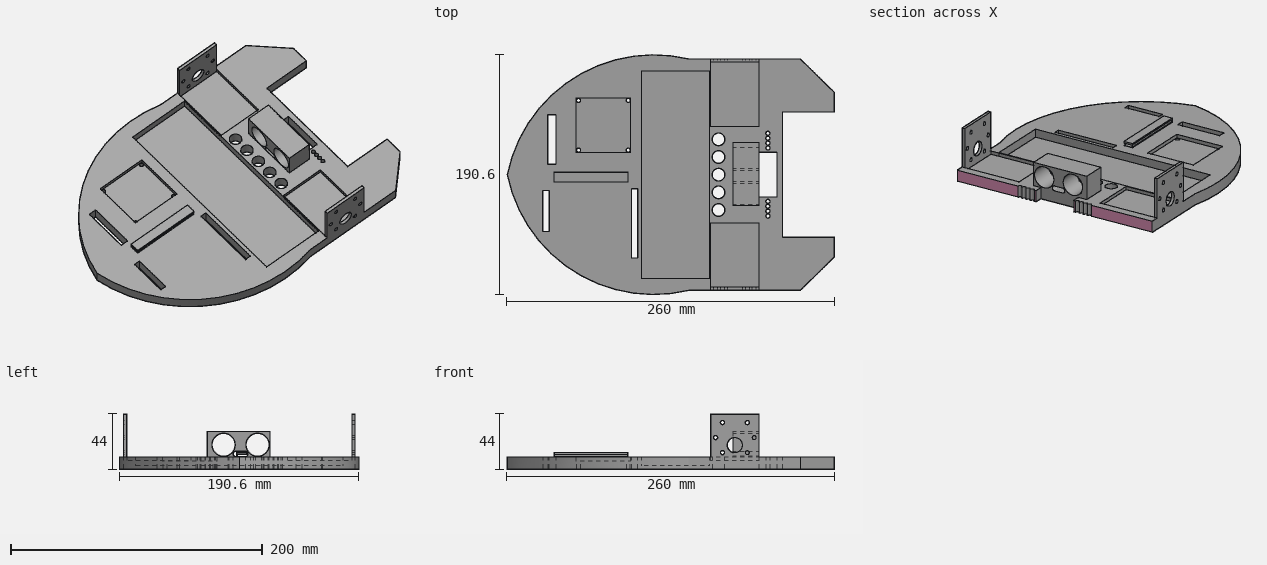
import cadquery as cq

plate_length = 260.0
plate_thickness = 10.0
half_width = 92.0
nose_length = 144.3
nose_radius = 118.8
tail_chamfer_length = 27.0
tail_chamfer_width = 26.5
arm_inner_y = 49.7
web_rear_x = 219.0

battery_front_x = 106.9
battery_rear_x = 161.0
battery_half_width = 82.5
battery_depth = 7.0

motor_front_x = 161.7
motor_rear_x = 200.2
motor_inner_y = 38.2
motor_depth = 2.9
bracket_thickness = 2.5
bracket_top_z = 44.0
motor_center_x = (motor_front_x + motor_rear_x) / 2
screw_center_z = 25.2
screw_offset_x = 10.0
screw_offset_z = 12.0
side_screw_offset_x = 15.3
shaft_drop = 6.0
shaft_hole_diameter = 12.0
small_hole_diameter = 3.0

board_center_x = 76.5
board_center_y = 39.3
board_size = 43.2
board_depth = 3.0
board_hole_pitch = 39.5

slots = [
    (32.2, 38.7, 8.3, 47.5),
    (28.3, 33.3, -45.0, -12.7),
    (98.8, 103.7, -66.0, -11.2),
    (motor_rear_x, 214.2, -17.7, 17.7),
]

line_hole_count = 5
line_hole_x = 168.0
line_hole_pitch = 14.0
line_hole_diameter = 10.0

pin_count = 4
pin_x = 207.2
pin_pitch = 4.0
pin_row_center_y = 27.0

block_front_x = 179.5
block_length = motor_rear_x - block_front_x
block_center_y = 0.5
block_width = 50.2
block_height = 20.3
eye_center_y = -1.0
eye_pitch = 27.0
eye_diameter = 18.2
eye_z = 19.5
window_width = 11.7
window_height = 4.2
window_z = 12.2

strip_front_x = 37.2
strip_length = 58.8
strip_upper_y = 2.0
strip_width = 8.0
strip_height = 3.6
strip_roof = 1.5
strip_wall = 0.5
strip_floor = 0.3


def box(x_min, x_max, y_min, y_max, z_min, z_max):
    """Box given by its limits along each axis."""
    size = (x_max - x_min, y_max - y_min, z_max - z_min)
    return cq.Workplane("XY").box(*size, centered=False).translate((x_min, y_min, z_min))


def through_holes(points, diameter):
    """Vertical cutters through the whole plate."""
    return cq.Workplane("XY").pushPoints(points).circle(diameter / 2).extrude(plate_thickness)


def make_plate():
    chamfer_start_x = plate_length - tail_chamfer_length
    tail_y = half_width - tail_chamfer_width
    return (
        cq.Workplane("XY")
        .moveTo(0, 0)
        .radiusArc((nose_length, half_width), nose_radius)
        .lineTo(chamfer_start_x, half_width)
        .lineTo(plate_length, tail_y)
        .lineTo(plate_length, arm_inner_y)
        .lineTo(web_rear_x, arm_inner_y)
        .lineTo(web_rear_x, -arm_inner_y)
        .lineTo(plate_length, -arm_inner_y)
        .lineTo(plate_length, -tail_y)
        .lineTo(chamfer_start_x, -half_width)
        .lineTo(nose_length, -half_width)
        .radiusArc((0, 0), nose_radius)
        .close()
        .extrude(plate_thickness)
    )


def cut_pockets(plate):
    battery = box(
        battery_front_x, battery_rear_x, -battery_half_width, battery_half_width,
        plate_thickness - battery_depth, plate_thickness,
    )
    motor = box(
        motor_front_x, motor_rear_x, motor_inner_y, half_width,
        plate_thickness - motor_depth, plate_thickness,
    )
    board = (
        cq.Workplane("XY", origin=(board_center_x, board_center_y, plate_thickness))
        .rect(board_size, board_size)
        .extrude(-board_depth)
    )
    return plate.cut(battery).cut(motor).cut(motor.mirror("XZ")).cut(board)


def cut_openings(plate):
    for x_min, x_max, y_min, y_max in slots:
        plate = plate.cut(box(x_min, x_max, y_min, y_max, 0, plate_thickness))

    line_middle = (line_hole_count - 1) / 2
    line_points = [(line_hole_x, (i - line_middle) * line_hole_pitch) for i in range(line_hole_count)]

    pin_middle = (pin_count - 1) / 2
    small_points = [
        (pin_x, side * pin_row_center_y + (i - pin_middle) * pin_pitch)
        for side in (-1, 1)
        for i in range(pin_count)
    ]
    half_pitch = board_hole_pitch / 2
    small_points += [
        (board_center_x + i * half_pitch, board_center_y + j * half_pitch)
        for i in (-1, 1)
        for j in (-1, 1)
    ]
    plate = plate.cut(through_holes(line_points, line_hole_diameter))
    return plate.cut(through_holes(small_points, small_hole_diameter))


def make_bracket():
    """Bracket on the +Y side, standing on the motor pocket floor."""
    bracket = box(
        motor_front_x, motor_rear_x, half_width - bracket_thickness, half_width,
        plate_thickness - motor_depth, bracket_top_z,
    )
    screw_points = [(i * screw_offset_x, j * screw_offset_z) for i in (-1, 1) for j in (-1, 1)]
    screw_points += [(i * side_screw_offset_x, 0) for i in (-1, 1)]
    face = cq.Workplane("XZ", origin=(motor_center_x, half_width, screw_center_z))
    screws = face.pushPoints(screw_points).circle(small_hole_diameter / 2).extrude(bracket_thickness)
    shaft = face.center(0, -shaft_drop).circle(shaft_hole_diameter / 2).extrude(bracket_thickness)
    return bracket.cut(screws).cut(shaft)


def make_sensor_block():
    block = box(
        block_front_x, motor_rear_x,
        block_center_y - block_width / 2, block_center_y + block_width / 2,
        plate_thickness, plate_thickness + block_height,
    )
    front = cq.Workplane("YZ", origin=(block_front_x, eye_center_y, 0))
    eyes = (
        front.pushPoints([(-eye_pitch / 2, eye_z), (eye_pitch / 2, eye_z)])
        .circle(eye_diameter / 2)
        .extrude(block_length)
    )
    window = front.center(0, window_z).slot2D(window_width, window_height).extrude(block_length)
    return block.cut(eyes).cut(window)


def make_strip():
    strip_rear_x = strip_front_x + strip_length
    strip_lower_y = strip_upper_y - strip_width
    strip_top_z = plate_thickness + strip_height
    body = box(strip_front_x, strip_rear_x, strip_lower_y, strip_upper_y, plate_thickness, strip_top_z)
    gap = box(
        strip_front_x, strip_rear_x, strip_lower_y, strip_upper_y - strip_wall,
        plate_thickness + strip_floor, strip_top_z - strip_roof,
    )
    return body.cut(gap)


bracket = make_bracket()
result = (
    cut_openings(cut_pockets(make_plate()))
    .union(bracket)
    .union(bracket.mirror("XZ"))
    .union(make_sensor_block())
    .union(make_strip())
)